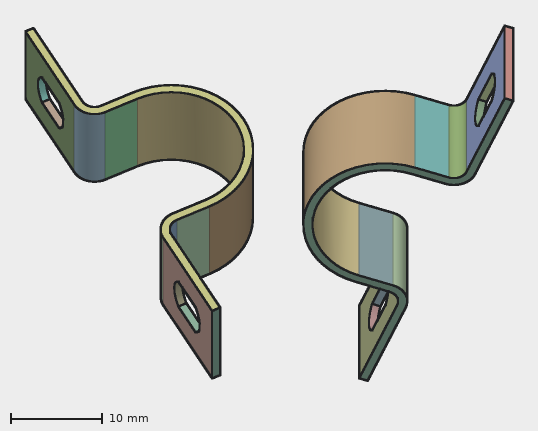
import cadquery as cq
import math

length = 44.0
depth = 15.5
width = 12.0
thickness = 1.0
saddle_outer_radius = 8.98
bend_inner_radius = 1.5
hole_diameter = 6.0
hole_height = 4.4
hole_spacing = 32.1

saddle_inner_radius = saddle_outer_radius - thickness
bend_outer_radius = bend_inner_radius + thickness
half_length = length / 2
saddle_center_y = depth - saddle_outer_radius
bend_center_x = saddle_outer_radius + bend_inner_radius
bend_center_y = bend_outer_radius


def bend_midpoint(side, radius):
    """Middle of a quarter-round foot bend; side is -1 or +1 along X."""
    offset = radius * math.sqrt(0.5)
    return side * (bend_center_x - offset), bend_center_y - offset


def make_strap():
    """Flat feet at Y = 0, joined by two bends, straight legs and a half-round saddle."""
    return (
        cq.Workplane("XY")
        .moveTo(-half_length, 0)
        .lineTo(-bend_center_x, 0)
        .threePointArc(bend_midpoint(-1, bend_outer_radius), (-saddle_inner_radius, bend_center_y))
        .lineTo(-saddle_inner_radius, saddle_center_y)
        .threePointArc(
            (0, saddle_center_y + saddle_inner_radius),
            (saddle_inner_radius, saddle_center_y),
        )
        .lineTo(saddle_inner_radius, bend_center_y)
        .threePointArc(bend_midpoint(1, bend_outer_radius), (bend_center_x, 0))
        .lineTo(half_length, 0)
        .lineTo(half_length, thickness)
        .lineTo(bend_center_x, thickness)
        .threePointArc(bend_midpoint(1, bend_inner_radius), (saddle_outer_radius, bend_center_y))
        .lineTo(saddle_outer_radius, saddle_center_y)
        .threePointArc((0, depth), (-saddle_outer_radius, saddle_center_y))
        .lineTo(-saddle_outer_radius, bend_center_y)
        .threePointArc(bend_midpoint(-1, bend_inner_radius), (-bend_center_x, thickness))
        .lineTo(-half_length, thickness)
        .close()
        .extrude(width)
    )


def make_hole_cutters():
    """Cylinders trimmed to the hole height, one through each foot."""
    centers = [(-hole_spacing / 2, width / 2), (hole_spacing / 2, width / 2)]
    foot_face = cq.Workplane("XZ").pushPoints(centers)
    cylinders = foot_face.circle(hole_diameter / 2).extrude(-thickness)
    flats = foot_face.rect(hole_diameter, hole_height).extrude(-thickness)
    return cylinders.intersect(flats)


result = make_strap().cut(make_hole_cutters())